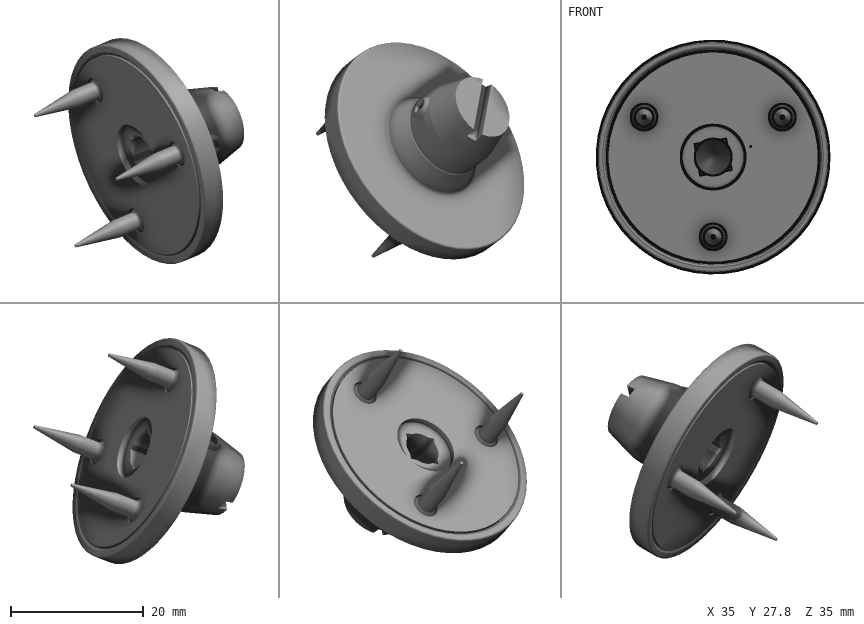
import cadquery as cq
import math


disc_radius = 17.5
disc_thickness = 3.6
disc_edge_fillet = 0.3
rim_inner_radius = 16.6
cavity_radius = 16.0
cavity_depth = 1.0
groove_depth = 0.4
boss_base_radius = 8.15
boss_top_radius = 6.5
boss_top_y = 7.0
boss_fillet = 0.5

plate_face_y = 0.0
plate_radius = 15.9
plate_hole_radius = 4.85

hub_radius = 6.5
hub_spigot_radius = 4.75
hub_end_y = 16.5
hub_cone_start_y = 11.0
hub_cone_angle = 15.0
hub_blend_radius = 5.0
hub_turn = 10.0
bore_radius = 2.75
bore_end_y = 12.0
drill_point_angle = 118.0
square_side = 4.8
slot_width = 1.6
slot_depth = 1.5

screw_radius = 1.92
screw_y = 9.6
screw_inner_end = 3.5
screw_outer_end = 6.82
screw_flat_radius = 1.3
screw_dome_middle_x = 6.5
screw_dome_middle_radius = 1.7
screw_dome_height = 0.63
hex_across_flats = 2.0
hex_depth = 1.0

spike_count = 3
spike_circle_radius = 12.0
spike_first_angle = 30.0
spike_angles = [spike_first_angle + i * 360 / spike_count for i in range(spike_count)]
spike_radius = 1.4
spike_flange_radius = 2.0
spike_flange_front_y = 0.42
spike_taper_start_y = -3.65
spike_tip_y = -11.27
spike_tip_radius = 0.25


margin = 0.18


def revolve_about_y(profile):
    return profile.close().revolve(360, (0, 0, 0), (0, 1, 0))


def y_cylinder(radius, start_y, end_y):
    return cq.Workplane("XZ", origin=(0, start_y, 0)).circle(radius).extrude(start_y - end_y)


def edges_around_y(radius, start_y, end_y):
    """Select the edges lying within a radius of the Y axis, between two Y positions."""
    reach = radius + margin
    return cq.selectors.BoxSelector(
        (-reach, start_y - margin, -reach),
        (reach, end_y + margin, reach),
        boundingbox=True,
    )


def turn_with_hub(body):
    """Turn a body about Y so that its +X side swings toward +Z."""
    return body.rotate((0, 0, 0), (0, 1, 0), -hub_turn)


def at_spike(body, angle):
    """Move a body from the Y axis to the spike at this angle, counted from +X toward +Z."""
    x = spike_circle_radius * math.cos(math.radians(angle))
    z = spike_circle_radius * math.sin(math.radians(angle))
    return body.translate((x, 0, z))


def make_housing():
    disc = y_cylinder(disc_radius, 0, disc_thickness).edges().fillet(disc_edge_fillet)
    boss = revolve_about_y(
        cq.Workplane("XY")
        .moveTo(0, disc_thickness)
        .lineTo(boss_base_radius, disc_thickness)
        .lineTo(boss_top_radius, boss_top_y)
        .lineTo(0, boss_top_y)
    )
    body = disc.union(boss)
    boss_edges = edges_around_y(boss_base_radius, disc_thickness, boss_top_y)
    body = body.edges(boss_edges).edges("%CIRCLE").fillet(boss_fillet)
    mouth_middle_radius = (rim_inner_radius + cavity_radius) / 2
    cavity = revolve_about_y(
        cq.Workplane("XY")
        .moveTo(disc_radius, 0)
        .lineTo(rim_inner_radius, 0)
        .tangentArcPoint((mouth_middle_radius, groove_depth / 2), relative=False)
        .tangentArcPoint((cavity_radius, groove_depth), relative=False)
        .lineTo(cavity_radius, cavity_depth)
        .lineTo(0, cavity_depth)
        .lineTo(0, -margin)
        .lineTo(disc_radius, -margin)
    )
    spigot_hole = y_cylinder(hub_spigot_radius, 0, boss_top_y)
    return body.cut(cavity).cut(spigot_hole)


def make_plate():
    plate = y_cylinder(plate_radius, plate_face_y, cavity_depth)
    plate = plate.cut(y_cylinder(plate_hole_radius, plate_face_y, cavity_depth))
    flange_hole = y_cylinder(spike_flange_radius, plate_face_y, cavity_depth)
    for angle in spike_angles:
        plate = plate.cut(at_spike(flange_hole, angle))
    return plate


def make_screw_blank():
    """The set screw without its hex socket, lying along X; it is also the shape of its hole."""
    return (
        cq.Workplane("XY")
        .moveTo(screw_inner_end, screw_y)
        .lineTo(screw_inner_end, screw_y + screw_radius)
        .lineTo(screw_outer_end - screw_dome_height, screw_y + screw_radius)
        .threePointArc(
            (screw_dome_middle_x, screw_y + screw_dome_middle_radius),
            (screw_outer_end, screw_y + screw_flat_radius),
        )
        .lineTo(screw_outer_end, screw_y)
        .close()
        .revolve(360, (0, screw_y, 0), (1, screw_y, 0))
    )


def make_hub():
    taper = math.tan(math.radians(hub_cone_angle))
    hub_end_radius = hub_radius - (hub_end_y - hub_cone_start_y) * taper
    hub = revolve_about_y(
        cq.Workplane("XY")
        .moveTo(0, cavity_depth)
        .lineTo(hub_spigot_radius, cavity_depth)
        .lineTo(hub_spigot_radius, boss_top_y)
        .lineTo(hub_radius, boss_top_y)
        .lineTo(hub_radius, hub_cone_start_y)
        .lineTo(hub_end_radius, hub_end_y)
        .lineTo(0, hub_end_y)
    )
    cone_start_edge = edges_around_y(hub_radius, hub_cone_start_y, hub_cone_start_y)
    hub = hub.edges(cone_start_edge).fillet(hub_blend_radius)
    drill_point_height = bore_radius / math.tan(math.radians(drill_point_angle / 2))
    bore = revolve_about_y(
        cq.Workplane("XY")
        .moveTo(0, cavity_depth)
        .lineTo(bore_radius, cavity_depth)
        .lineTo(bore_radius, bore_end_y)
        .lineTo(0, bore_end_y + drill_point_height)
    )
    square_length = bore_end_y - cavity_depth
    square = cq.Workplane("XY").box(square_side, square_length, square_side)
    square = square.translate((0, cavity_depth + square_length / 2, 0))
    slot = cq.Workplane("XY").box(slot_width, slot_depth, 2 * hub_radius)
    slot = slot.translate((0, hub_end_y - slot_depth / 2, 0))
    return turn_with_hub(hub.cut(bore).cut(square).cut(slot).cut(make_screw_blank()))


def make_set_screw():
    hex_socket = (
        cq.Workplane("YZ", origin=(screw_outer_end, screw_y, 0))
        .polygon(6, hex_across_flats, circumscribed=True)
        .extrude(-hex_depth)
    )
    return turn_with_hub(make_screw_blank().cut(hex_socket))


def make_spike(angle):
    shank_start_y = spike_flange_front_y - (spike_flange_radius - spike_radius)
    spike = revolve_about_y(
        cq.Workplane("XY")
        .moveTo(0, cavity_depth)
        .lineTo(spike_flange_radius, cavity_depth)
        .lineTo(spike_flange_radius, spike_flange_front_y)
        .lineTo(spike_radius, shank_start_y)
        .lineTo(spike_radius, spike_taper_start_y)
        .lineTo(spike_tip_radius, spike_tip_y)
        .lineTo(0, spike_tip_y)
    )
    return at_spike(spike, angle)


housing = make_housing()
plate = make_plate()
hub = make_hub()
set_screw = make_set_screw()
spikes = [make_spike(angle) for angle in spike_angles]

result = cq.Compound.makeCompound(
    [housing.val(), plate.val(), hub.val(), set_screw.val(), *[spike.val() for spike in spikes]]
)